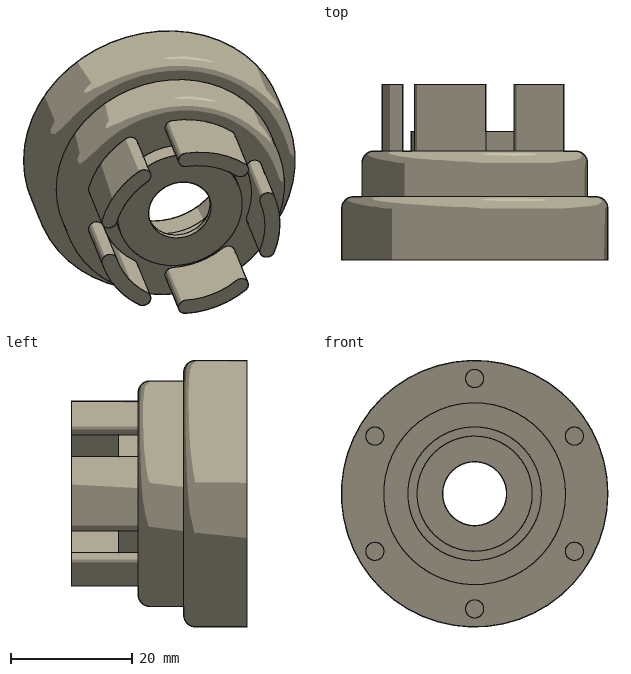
import cadquery as cq
import math

flange_diameter = 44.0
flange_depth = 10.45
collar_diameter = 37.25
collar_end = 18.0
edge_radius = 2.0

hub_diameter = 21.0
hub_end = 21.25
hub_floor = 1.0

mouth_diameter = 30.0
mouth_depth = 5.2
seat_diameter = 22.05
seat_depth = 12.25
inner_diameter = 19.0
inner_depth = hub_end - hub_floor
shaft_diameter = 10.5

bolt_count = 6
bolt_diameter = 3.0
bolt_circle_radius = 19.0
bolt_depth = 7.9

jaw_count = 5
jaw_outer_radius = 15.25
jaw_thickness = 2.55
jaw_end = 29.0
jaw_half_angle = 20.3
first_jaw_angle = 180.0


def cylinder(diameter, start, end):
    """Cylinder on the Y axis between two Y positions."""
    plane = cq.Workplane("XZ", origin=(0, start, 0))
    return plane.circle(diameter / 2).extrude(start - end)


def polar(radius, angle):
    """Point in the XZ plane at an angle in degrees from +X."""
    turn = math.radians(angle)
    return (radius * math.cos(turn), radius * math.sin(turn))


def jaw(angle):
    """Arc-shaped jaw with full-round ends, centred at the given angle."""
    inner_radius = jaw_outer_radius - jaw_thickness
    middle_radius = jaw_outer_radius - jaw_thickness / 2
    start = angle - jaw_half_angle
    end = angle + jaw_half_angle
    round_angle = math.degrees(jaw_thickness / 2 / middle_radius)
    return (
        cq.Workplane("XZ", origin=(0, collar_end, 0))
        .moveTo(*polar(jaw_outer_radius, start))
        .threePointArc(polar(jaw_outer_radius, angle), polar(jaw_outer_radius, end))
        .threePointArc(polar(middle_radius, end + round_angle), polar(inner_radius, end))
        .threePointArc(polar(inner_radius, angle), polar(inner_radius, start))
        .threePointArc(polar(middle_radius, start - round_angle), polar(jaw_outer_radius, start))
        .close()
        .extrude(collar_end - jaw_end)
    )


flange = cylinder(flange_diameter, 0, flange_depth).faces(">Y").edges().fillet(edge_radius)
collar = cylinder(collar_diameter, 0, collar_end).faces(">Y").edges().fillet(edge_radius)
result = flange.union(collar).union(cylinder(hub_diameter, 0, hub_end))

cavity_steps = [
    (mouth_diameter, mouth_depth),
    (seat_diameter, seat_depth),
    (inner_diameter, inner_depth),
    (shaft_diameter, hub_end),
]
for diameter, depth in cavity_steps:
    result = result.cut(cylinder(diameter, 0, depth))

bolt_holes = (
    cq.Workplane("XZ")
    .polarArray(bolt_circle_radius, 90, 360, bolt_count)
    .circle(bolt_diameter / 2)
    .extrude(-bolt_depth)
)
result = result.cut(bolt_holes)

for index in range(jaw_count):
    result = result.union(jaw(first_jaw_angle + index * 360 / jaw_count))